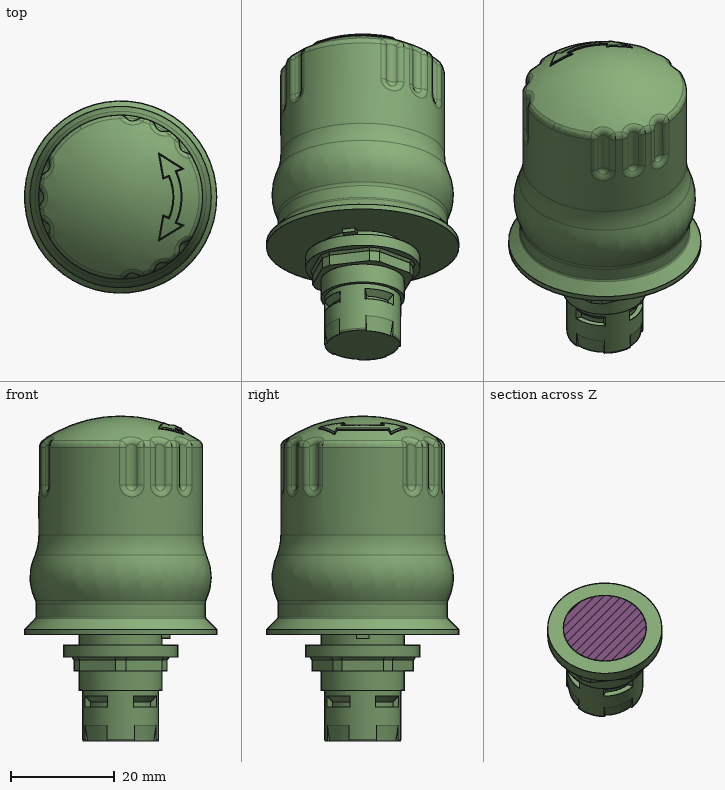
import cadquery as cq
import math

flange_dia = 37.0
flange_rim_height = 1.0
collar_dia = 32.6
collar_top = 5.86
flange_fillet = 0.5

bulge_start_radius = 16.42
bulge_start_z = 6.6
bulge_dia = 34.9
bulge_mid_z = 11.04
bulge_end_radius = 16.5
bulge_end_z = 15.27

knob_dia = 31.55
knob_start_z = 19.19
knob_top_z = 42.06
dome_radius = 26.5

groove_groups = (60, 180, 300)
groove_pitch_angle = 22
groove_radius = 1.6
groove_floor_radius = 14.8
groove_bottom_z = 28.8
edge_fillet = 1.6

arrow_height = 0.3
arrow_bevel = 0.2
arrow_inner_radius = 10.05
arrow_outer_radius = 11.8
arrow_inner_angle = 23.0
arrow_outer_angle = 24.5
arrow_tip = (7.25, 8.5)
arrow_inner_barb = (8.13, 3.46)
arrow_outer_barb = (12.17, 5.42)

shank_dia = 16.0
shank_bottom = -10.75
barrel_dia = 14.65
barrel_bottom = -20.5
washer_dia = 22.0
washer_top = -2.05
washer_bottom = -4.35
nut_across_flats = 17.9
nut_across_corner_flats = 19.5
nut_top = -4.9
nut_bottom = -7.0
nut_flare = 0.4

lug_reach = 9.5
lug_width = 2.5
lug_height = 0.75

window_core_dia = 12.6
window_half_rib = 2.5
window_top = -11.8
window_slope_end = -12.95
window_bottom = -13.93
notch_half_rib = 2.66
notch_top = -17.5
notch_end_dia = 13.8
barrel_bevel_height = 0.35
barrel_bevel_depth = 0.1

tolerance = 0.001
seam_angle = 120

flange_radius = flange_dia / 2
collar_radius = collar_dia / 2
knob_radius = knob_dia / 2
barrel_radius = barrel_dia / 2
cone_top_z = flange_rim_height + flange_radius - collar_radius
dome_center_z = knob_top_z - dome_radius
dome_edge_z = dome_center_z + math.sqrt(dome_radius**2 - knob_radius**2)


def polar(radius, angle):
    """Point at the given radius and angle (degrees)."""
    return (radius * math.cos(math.radians(angle)), radius * math.sin(math.radians(angle)))


def cylinder(diameter, z_from, z_to):
    return cq.Workplane("XY").workplane(offset=z_from).circle(diameter / 2).extrude(z_to - z_from)


def ball(radius, center):
    return cq.Workplane("XY").sphere(radius).translate(center)


def make_head():
    """Flange, collar, bulged skirt and domed knob as one turned body."""
    dome_mid_angle = math.degrees(math.asin(knob_radius / dome_radius)) / 2
    dome_mid = (
        dome_radius * math.sin(math.radians(dome_mid_angle)),
        dome_center_z + dome_radius * math.cos(math.radians(dome_mid_angle)),
    )
    neck_drop = knob_start_z - bulge_end_z
    neck_step = bulge_end_radius - knob_radius
    neck_arc_radius = (neck_drop**2 + neck_step**2) / (2 * neck_step)
    neck_mid_angle = math.asin(neck_drop / neck_arc_radius) / 2
    neck_mid = (
        knob_radius + neck_arc_radius * (1 - math.cos(neck_mid_angle)),
        knob_start_z - neck_arc_radius * math.sin(neck_mid_angle),
    )
    head = (
        cq.Workplane("XZ")
        .lineTo(flange_radius, 0)
        .lineTo(flange_radius, flange_rim_height)
        .lineTo(collar_radius, cone_top_z)
        .lineTo(collar_radius, collar_top)
        .tangentArcPoint((bulge_start_radius, bulge_start_z), relative=False)
        .threePointArc((bulge_dia / 2, bulge_mid_z), (bulge_end_radius, bulge_end_z))
        .threePointArc(neck_mid, (knob_radius, knob_start_z))
        .lineTo(knob_radius, dome_edge_z)
        .threePointArc(dome_mid, (0, knob_top_z))
        .close()
        .revolve(360, (0, 0, 0), (0, 1, 0))
        .rotate((0, 0, 0), (0, 0, 1), seam_angle)
    )
    flange_root = cq.selectors.BoxSelector(
        (-flange_dia, -flange_dia, cone_top_z - tolerance),
        (flange_dia, flange_dia, cone_top_z + tolerance),
    )
    return head.edges(flange_root).fillet(flange_fillet)


def make_groove(angle):
    """Round-bottomed vertical flute, open through the dome."""
    x, y = polar(groove_floor_radius + groove_radius, angle)
    flute = cylinder(2 * groove_radius, groove_bottom_z, knob_top_z).translate((x, y, 0))
    return flute.union(ball(groove_radius, (x, y, groove_bottom_z)))


def is_soft_edge(edge):
    """True for the knob rim and the groove mouths, false for seams inside a groove."""
    box = edge.BoundingBox()
    on_rim = abs(box.zmin - dome_edge_z) < tolerance
    groove_seam = box.zlen < tolerance and not on_rim
    return box.zmin > knob_start_z + tolerance and not groove_seam


def make_knobbed_head():
    head = make_head()
    for group_angle in groove_groups:
        for step in (-1, 0, 1):
            head = head.cut(make_groove(group_angle + step * groove_pitch_angle))
    soft_edges = [edge for edge in head.edges().vals() if is_soft_edge(edge)]
    return head.newObject(soft_edges).fillet(edge_fillet)


def make_arrow():
    """Double-headed arrow following an arc about the axis, raised on the dome with bevelled edges."""
    tip_x, tip_y = arrow_tip
    barb_x, barb_y = arrow_inner_barb
    inner_x, inner_y = polar(arrow_inner_radius, arrow_inner_angle)
    outer_x, outer_y = polar(arrow_outer_radius, arrow_outer_angle)
    outer_barb_x, outer_barb_y = arrow_outer_barb
    prism = (
        cq.Workplane("XY")
        .workplane(offset=dome_center_z)
        .moveTo(tip_x, tip_y)
        .lineTo(barb_x, barb_y)
        .lineTo(inner_x, inner_y)
        .threePointArc((arrow_inner_radius, 0), (inner_x, -inner_y))
        .lineTo(barb_x, -barb_y)
        .lineTo(tip_x, -tip_y)
        .lineTo(outer_barb_x, -outer_barb_y)
        .lineTo(outer_x, -outer_y)
        .threePointArc((arrow_outer_radius, 0), (outer_x, outer_y))
        .lineTo(outer_barb_x, outer_barb_y)
        .close()
        .extrude(dome_radius)
    )
    center = (0, 0, dome_center_z)
    plate = prism.intersect(ball(dome_radius + arrow_height, center))
    plate = plate.faces(">Z").edges().chamfer(arrow_bevel)
    return plate.cut(ball(dome_radius - arrow_height, center))


def hexagon_prism(across_flats, z_from, z_to):
    """Hexagonal prism with two corners on the X axis."""
    corner_to_corner = across_flats / math.cos(math.radians(30))
    return cq.Workplane("XY").workplane(offset=z_from).polygon(6, corner_to_corner).extrude(z_to - z_from)


def make_nut():
    """Hexagon with flattened corners, two of them on the Y axis, flaring out to the washer."""
    corner_cutter = hexagon_prism(nut_across_corner_flats, nut_bottom, nut_top)
    hexagon = hexagon_prism(nut_across_flats, nut_bottom, nut_top).rotate((0, 0, 0), (0, 0, 1), 30)
    nut = hexagon.intersect(corner_cutter)
    flare_height = washer_bottom - nut_top
    flare_angle = math.degrees(math.atan2(nut_flare, flare_height))
    outline = nut.faces(">Z").wires().toPending().workplane()
    flare = outline.extrude(flare_height, taper=-flare_angle, combine=False)
    return nut.union(flare)


def corner_block(half_rib, z_from, z_to):
    """Square block in the +X +Y corner, leaving ribs of the given half width on both axes."""
    side = barrel_dia
    block = cq.Workplane("XY").box(side, side, z_to - z_from, centered=False)
    return block.translate((half_rib, half_rib, z_from))


def turned_core(radius_bottom, radius_top, z_from, z_to):
    return (
        cq.Workplane("XZ")
        .moveTo(0, z_from)
        .lineTo(radius_bottom, z_from)
        .lineTo(radius_top, z_to)
        .lineTo(0, z_to)
        .close()
        .revolve(360, (0, 0, 0), (0, 1, 0))
    )


def make_barrel():
    """Lower barrel with four windows under sloped roofs and four tapered notches at its end."""
    core_radius = window_core_dia / 2
    roof_core = turned_core(core_radius, barrel_radius, window_slope_end, window_top)
    wall_core = cylinder(window_core_dia, window_bottom, window_slope_end)
    window = corner_block(window_half_rib, window_bottom, window_top).cut(roof_core).cut(wall_core)
    notch_core = turned_core(notch_end_dia / 2, barrel_radius, barrel_bottom, notch_top)
    notch = corner_block(notch_half_rib, barrel_bottom, notch_top).cut(notch_core)
    bevel_top = barrel_bottom + barrel_bevel_height
    barrel = cylinder(barrel_dia, bevel_top, shank_bottom)
    barrel = barrel.union(
        turned_core(barrel_radius - barrel_bevel_depth, barrel_radius, barrel_bottom, bevel_top)
    )
    for quarter in range(4):
        for pocket in (window, notch):
            barrel = barrel.cut(pocket.rotate((0, 0, 0), (0, 0, 1), 90 * quarter))
    return barrel


def make_lug():
    lug = cq.Workplane("XY").box(lug_reach, lug_width, lug_height, centered=(False, True, False))
    return lug.translate((0, 0, -lug_height))


result = (
    make_knobbed_head()
    .union(make_arrow())
    .union(cylinder(shank_dia, shank_bottom, 0))
    .union(cylinder(washer_dia, washer_bottom, washer_top))
    .union(make_nut())
    .union(make_barrel())
    .union(make_lug())
)